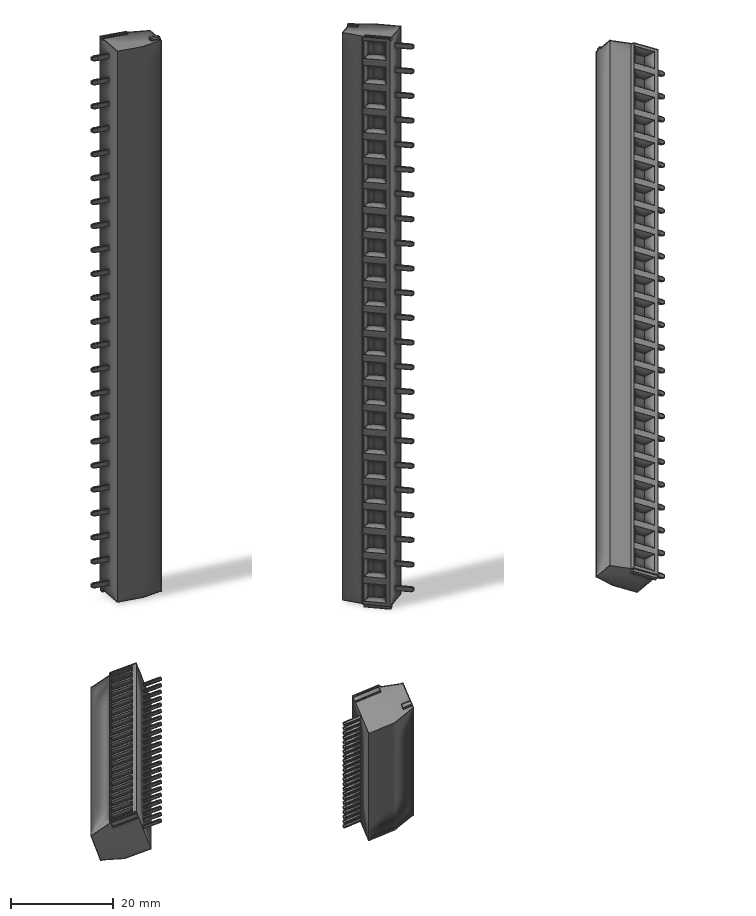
import cadquery as cq

POLES = 23
PITCH = 5.08
LENGTH = POLES * PITCH
TOTAL_LENGTH = 117.84

WIDTH = 8.1
HEIGHT = 10.0
SHOULDER_Y = 9.6
TOP_X_START = 1.45
TOP_X_END = 6.85
LEDGE_X = 0.5
LEDGE_INNER_Y = 5.8
LEDGE_OUTER_Y = 5.5
FAR_SLOPE_Y = 5.5

PIN_LENGTH = 3.65
PIN_X_SIZE = 0.5
PIN_Z_SIZE = 0.9
PIN_TIP_Z_SIZE = 0.5
PIN_TIP_LENGTH = 0.5

ENTRY_BOTTOM_Y = 0.85
ENTRY_TOP_Y = 5.25
ENTRY_Z_SIZE = 3.7
ENTRY_DEPTH = 2.4
ENTRY_BOTTOM_DRAFT = 0.8
ENTRY_TOP_DRAFT = 0.25
ENTRY_SIDE_DRAFT = 0.2
ENTRY_KNEE_Y = 3.95
ENTRY_FLOOR_RISE = 0.35

KEY_X = 0.3
KEY_WIDTH = 1.1
KEY_TIP_WIDTH = 0.8
KEY_Y_SIZE = 5.4
RIB_HEIGHT = 0.6
GROOVE_DEPTH = 0.45

TAB_X = 5.3
TAB_WIDTH = 1.05
TAB_TIP_WIDTH = 0.75
TAB_Y_SIZE = 1.95
TAB_HEIGHT = TOTAL_LENGTH - LENGTH - RIB_HEIGHT


def make_housing():
    outline = [
        (0, 0),
        (WIDTH, 0),
        (WIDTH, FAR_SLOPE_Y),
        (TOP_X_END, SHOULDER_Y),
        (TOP_X_END, HEIGHT),
        (TOP_X_START, HEIGHT),
        (TOP_X_START, SHOULDER_Y),
        (LEDGE_X, LEDGE_INNER_Y),
        (0, LEDGE_OUTER_Y),
    ]
    return cq.Workplane("XY").polyline(outline).close().extrude(LENGTH)


def make_entry(z):
    """Funnel-shaped pocket: an XY profile limited by a trapezoid in the XZ plane."""
    half = ENTRY_Z_SIZE / 2
    inner_half = half - ENTRY_SIDE_DRAFT
    profile = [
        (0, ENTRY_BOTTOM_Y),
        (ENTRY_DEPTH, ENTRY_BOTTOM_Y + ENTRY_BOTTOM_DRAFT),
        (ENTRY_DEPTH, ENTRY_KNEE_Y),
        (ENTRY_DEPTH - ENTRY_FLOOR_RISE, ENTRY_TOP_Y - ENTRY_TOP_DRAFT),
        (0, ENTRY_TOP_Y),
    ]
    trapezoid = [
        (0, z - half),
        (ENTRY_DEPTH, z - inner_half),
        (ENTRY_DEPTH, z + inner_half),
        (0, z + half),
    ]
    prism = cq.Workplane("XY", origin=(0, 0, z)).polyline(profile).close().extrude(half, both=True)
    limits = cq.Workplane("XZ").polyline(trapezoid).close().extrude(-HEIGHT)
    return prism.intersect(limits)


def make_pin(z):
    """Flat pin on the housing centre line with a tip tapered in Z."""
    half = PIN_Z_SIZE / 2
    tip_half = PIN_TIP_Z_SIZE / 2
    taper_y = PIN_TIP_LENGTH - PIN_LENGTH
    outline = [
        (0, z - half),
        (taper_y, z - half),
        (-PIN_LENGTH, z - tip_half),
        (-PIN_LENGTH, z + tip_half),
        (taper_y, z + half),
        (0, z + half),
    ]
    plane = cq.Workplane("YZ", origin=(WIDTH / 2, 0, 0))
    return plane.polyline(outline).close().extrude(PIN_X_SIZE / 2, both=True)


def make_key_bar(x, width, tip_width, z_base, z_tip, y_start, y_size):
    """Bar along Y, upright at first, then bevelled on its +X side towards the tip."""
    z_bevel = (z_base + z_tip) / 2
    outline = [
        (x, z_base),
        (x + width, z_base),
        (x + width, z_bevel),
        (x + tip_width, z_tip),
        (x, z_tip),
    ]
    plane = cq.Workplane("XZ", origin=(0, y_start, 0))
    return plane.polyline(outline).close().extrude(-y_size)


result = make_housing()

for pole in range(POLES):
    pole_z = (pole + 0.5) * PITCH
    result = result.cut(make_entry(pole_z)).union(make_pin(pole_z))

rib = make_key_bar(KEY_X, KEY_WIDTH, KEY_TIP_WIDTH, 0, -RIB_HEIGHT, 0, KEY_Y_SIZE)
groove = make_key_bar(KEY_X, KEY_WIDTH, KEY_TIP_WIDTH, LENGTH, LENGTH - GROOVE_DEPTH, 0, KEY_Y_SIZE)
tab = make_key_bar(
    TAB_X, TAB_WIDTH, TAB_TIP_WIDTH, LENGTH, LENGTH + TAB_HEIGHT, HEIGHT - TAB_Y_SIZE, TAB_Y_SIZE
)
result = result.union(rib).cut(groove).union(tab)